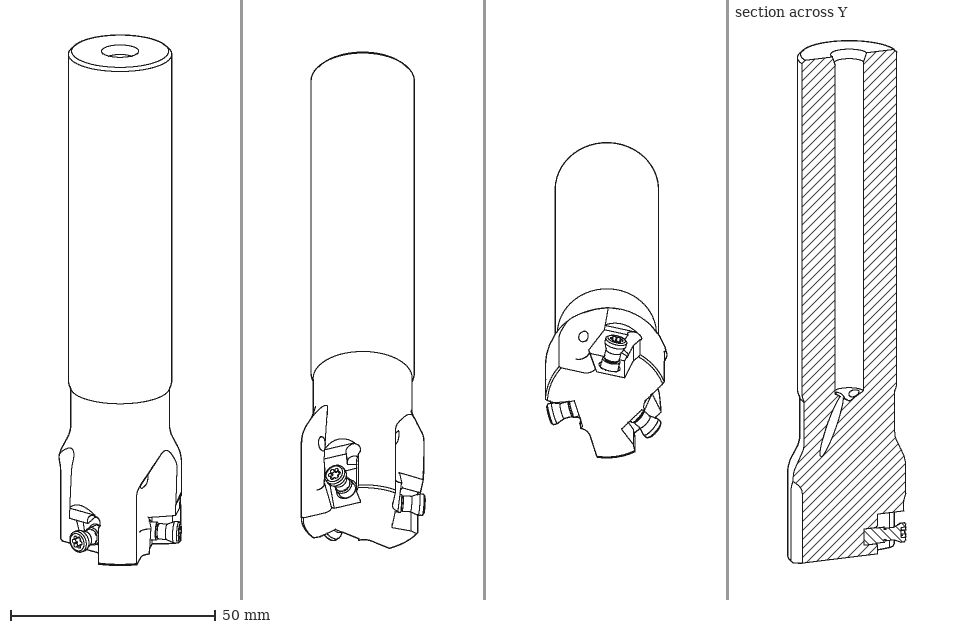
import cadquery as cq
import math

TOOTH_COUNT = 3
REACH = 40.0

total_length = 128.57
shank_radius = 12.7
shank_end_chamfer = 0.8
shank_bottom = 42.8
neck_radius = 12.15
taper_break_radius = 12.5
neck_taper_length = 1.6
head_radius = 15.07
head_top = 23.45
shoulder_angle = 26.0
shoulder_blend = 5.0
head_bottom_chamfer = 0.5

bore_radius = 3.75
bore_chamfer_width = 0.8
bore_chamfer_height = 2.2
bore_tip_z = 40.0
bore_tip_angle = 118.0
branch_radius = 1.2
branch_start = (0.0, 2.1)
branch_exit = (-7.6, 7.8, 19.0)
branch_overrun = 3.0

flute_floor_x = -6.5
flute_rake = 3.5
step_foot_y = 9.8
step_depth = 1.7
step_width = 2.6
wall_angle = 21.9
runout_z = 19.3
runout_angle = 33.0
runout_blend = 5.0
wall_blend = 3.6
lower_step_z = 7.2
lower_step_angle = 14.8

seat_floor_x = -7.5
seat_top = 10.15
seat_wall_foot = (seat_floor_x, -2.7)
seat_wall_bend = (-12.4, -3.7)
seat_flare_angle = 35.0
seat_open_y = 5.9
seat_open_angle = 35.0
seat_open_lean = 9.0
ledge_x = -14.5
ledge_top = 12.8
ledge_rise = 4.0
ledge_half_width = 10.0
ledge_slope = 18.0
relief_radius = 1.8
relief_z = 10.8
relief_angle = 20.0

screw_y = 1.1
screw_z = 4.75
screw_tip_x = -4.0
thread_radius = 2.2
countersink_radius = 2.65
countersink_depth = 0.45
thread_end_x = -9.3
groove_width = 0.4
groove_radius = 1.6
collar_end_x = -11.8
collar_radius = 1.9
head_cone_end_x = -13.7
head_rim_end_x = -14.7
screw_head_radius = 2.65
screw_face_x = -15.05
screw_face_radius = 2.2
socket_radius = 1.1
socket_lobe_radius = 0.45
socket_depth = 1.2
SOCKET_LOBES = 6


def about_axis(shape, index):
    """Copy of a shape turned to one of the tooth stations."""
    return shape.rotate((0, 0, 0), (0, 0, 1), index * 360.0 / TOOTH_COUNT)


def below(height):
    """Everything in reach below a height."""
    return cq.Workplane("XY").box(4 * REACH, 4 * REACH, 2 * REACH).translate((0, 0, height - REACH))


def blank():
    """Turned body: chamfered shank, undercut neck, blended shoulder and cutting head."""
    shoulder_height = (head_radius - neck_radius) / math.tan(math.radians(shoulder_angle))
    body = (
        cq.Workplane("XZ")
        .moveTo(0, 0)
        .lineTo(head_radius - head_bottom_chamfer, 0)
        .lineTo(head_radius, head_bottom_chamfer)
        .lineTo(head_radius, head_top)
        .lineTo(neck_radius, head_top + shoulder_height)
        .lineTo(neck_radius, shank_bottom - neck_taper_length)
        .lineTo(taper_break_radius, shank_bottom - neck_taper_length / 2)
        .lineTo(shank_radius, shank_bottom)
        .lineTo(shank_radius, total_length - shank_end_chamfer)
        .lineTo(shank_radius - shank_end_chamfer, total_length)
        .lineTo(0, total_length)
        .close()
        .revolve(360, (0, 0), (0, 1))
    )
    shoulder = cq.selectors.BoxSelector(
        (-REACH, -REACH, head_top - shoulder_height),
        (REACH, REACH, head_top + 2 * shoulder_height),
    )
    return body.edges(shoulder).edges("%CIRCLE").fillet(shoulder_blend)


def bore():
    """Central coolant bore with a drill-point bottom and a chamfered mouth."""
    tip_height = bore_radius / math.tan(math.radians(bore_tip_angle / 2))
    return (
        cq.Workplane("XZ")
        .moveTo(0, bore_tip_z)
        .lineTo(bore_radius, bore_tip_z + tip_height)
        .lineTo(bore_radius, total_length - bore_chamfer_height)
        .lineTo(bore_radius + bore_chamfer_width, total_length)
        .lineTo(0, total_length)
        .close()
        .revolve(360, (0, 0), (0, 1))
    )


def coolant_branch():
    """Slanted hole from the bore bottom into the flute."""
    start = cq.Vector(*branch_start, bore_tip_z + bore_radius / 2)
    direction = cq.Vector(*branch_exit) - start
    length = direction.Length + branch_overrun
    return cq.Workplane(cq.Solid.makeCylinder(branch_radius, length, start, direction))


def flute_prism():
    """Flute in plan: flat floor, hollow step rising from it, then the wall running outward."""
    wall = math.radians(wall_angle)
    far_x = flute_floor_x - REACH
    step_top = (flute_floor_x - step_depth, step_foot_y - step_width)
    return (
        cq.Workplane("XY")
        .moveTo(flute_floor_x, REACH)
        .lineTo(flute_floor_x, step_foot_y)
        .tangentArcPoint(step_top, relative=False)
        .lineTo(far_x, step_top[1] - (step_top[0] - far_x) * math.tan(wall))
        .lineTo(far_x, REACH)
        .close()
        .extrude(REACH, both=True)
    )


def runout_envelope():
    """Floor and runout plane with a round blend, as a prism along Y."""
    slope = math.tan(math.radians(runout_angle))
    envelope = (
        cq.Workplane("XZ")
        .moveTo(-2 * REACH, -REACH)
        .lineTo(flute_floor_x, -REACH)
        .lineTo(flute_floor_x, runout_z)
        .lineTo(flute_floor_x - REACH * slope, runout_z + REACH)
        .lineTo(-2 * REACH, runout_z + REACH)
        .close()
        .extrude(REACH, both=True)
    )
    bend = cq.selectors.NearestToPointSelector((flute_floor_x, 0, runout_z))
    return envelope.edges(bend).fillet(runout_blend)


def wall_envelope():
    """Runout plane and flute wall joined by a wide round that climbs along the runout."""
    wall_slope = math.tan(math.radians(wall_angle))
    runout_slope = math.tan(math.radians(runout_angle))
    wall_y = step_foot_y - step_width + step_depth * wall_slope
    near_x = flute_floor_x + REACH
    far_x = flute_floor_x - REACH
    wall_side = (
        cq.Workplane("XY")
        .polyline([
            (near_x, wall_y + REACH * wall_slope),
            (far_x, wall_y - REACH * wall_slope),
            (far_x, 2 * REACH),
            (near_x, 2 * REACH),
        ])
        .close()
        .extrude(2 * REACH, both=True)
        .rotate((0, 0, 0), (1, 0, 0), flute_rake)
    )
    runout_rise = REACH / 2
    runout_side = (
        cq.Workplane("XZ")
        .moveTo(flute_floor_x + runout_rise * runout_slope, runout_z - runout_rise)
        .lineTo(flute_floor_x - runout_rise * runout_slope, runout_z + runout_rise)
        .lineTo(far_x, runout_z + runout_rise)
        .lineTo(far_x, runout_z - runout_rise)
        .close()
        .extrude(2 * REACH, both=True)
    )
    corner_y = wall_y - runout_z * math.tan(math.radians(flute_rake))
    corner = cq.selectors.NearestToPointSelector((flute_floor_x, corner_y, runout_z))
    return wall_side.intersect(runout_side).edges(corner).fillet(wall_blend)


def flute():
    """Chip space: raked upper part and a lower part that swings toward the insert seat."""
    upper = flute_prism().rotate((0, 0, 0), (1, 0, 0), flute_rake)
    upper = upper.intersect(runout_envelope()).intersect(wall_envelope())
    bend_y = step_foot_y - lower_step_z * math.tan(math.radians(flute_rake))
    lower = (
        flute_prism()
        .translate((0, bend_y - step_foot_y, lower_step_z))
        .rotate((0, bend_y, lower_step_z), (1, bend_y, lower_step_z), -lower_step_angle)
    )
    return upper.union(lower.intersect(below(lower_step_z)))


def seat():
    """Insert pocket with flared side wall, the flat above it and the round corner relief."""
    run = REACH / 2
    flare_slope = math.tan(math.radians(seat_flare_angle))
    open_slope = math.tan(math.radians(seat_open_angle))
    wall_side = (
        cq.Workplane("XY")
        .polyline([
            (seat_floor_x, run),
            seat_wall_foot,
            seat_wall_bend,
            (seat_wall_bend[0] - run, seat_wall_bend[1] - run * flare_slope),
            (seat_wall_bend[0] - run, run),
        ])
        .close()
        .extrude(REACH, both=True)
    )
    open_side = (
        cq.Workplane("XY")
        .polyline([
            (seat_floor_x, -REACH),
            (seat_floor_x, seat_open_y),
            (seat_floor_x - REACH, seat_open_y + REACH * open_slope),
            (seat_floor_x - REACH, -REACH),
        ])
        .close()
        .extrude(REACH, both=True)
        .rotate((0, 0, 0), (1, 0, 0), -seat_open_lean)
        .translate((0, 0, seat_top))
    )
    pocket = wall_side.intersect(open_side).intersect(below(seat_top))
    ledge_run = ledge_rise * math.tan(math.radians(ledge_slope))
    ledge = (
        cq.Workplane("XZ")
        .moveTo(ledge_x, seat_top)
        .lineTo(ledge_x, ledge_top)
        .lineTo(ledge_x - ledge_run, ledge_top + ledge_rise)
        .lineTo(-REACH, ledge_top + ledge_rise)
        .lineTo(-REACH, seat_top)
        .close()
        .extrude(ledge_half_width, both=True)
    )
    relief_lean = math.radians(relief_angle)
    relief = cq.Solid.makeCylinder(
        relief_radius,
        run,
        cq.Vector(seat_floor_x - relief_radius, seat_wall_foot[1] + relief_radius / 2, relief_z),
        cq.Vector(-math.cos(relief_lean), -math.sin(relief_lean), 0),
    )
    return pocket.union(ledge).union(cq.Workplane(relief))


def along_screw(profile):
    """Turn (X, radius) points about the screw axis."""
    axis = cq.Workplane("XY", origin=(0, screw_y, screw_z))
    return axis.polyline(profile).close().revolve(360, (0, 0), (1, 0))


def screw_hole():
    """Countersunk blind hole in the seat floor."""
    return along_screw([
        (screw_tip_x, 0),
        (screw_tip_x, thread_radius),
        (seat_floor_x + countersink_depth, thread_radius),
        (seat_floor_x, countersink_radius),
        (seat_floor_x, 0),
    ])


def screw():
    """Clamping screw with grooved neck, conical head and six-lobe socket."""
    body = along_screw([
        (screw_tip_x, 0),
        (screw_tip_x, thread_radius),
        (thread_end_x, thread_radius),
        (thread_end_x, groove_radius),
        (thread_end_x - groove_width, groove_radius),
        (thread_end_x - groove_width, collar_radius),
        (collar_end_x, collar_radius),
        (head_cone_end_x, screw_head_radius),
        (head_rim_end_x, screw_head_radius),
        (screw_face_x, screw_face_radius),
        (screw_face_x, 0),
    ])
    face = cq.Workplane("YZ", origin=(screw_face_x, screw_y, screw_z))
    socket = face.circle(socket_radius).extrude(socket_depth)
    lobe_centres = face.polarArray(socket_radius, 0, 360, SOCKET_LOBES)
    lobes = lobe_centres.circle(socket_lobe_radius).extrude(socket_depth)
    return body.cut(socket.union(lobes))


cutter_body = blank().cut(bore())
screws = []
for tooth in range(TOOTH_COUNT):
    for cut in (flute(), seat(), screw_hole(), coolant_branch()):
        cutter_body = cutter_body.cut(about_axis(cut, tooth))
    screws.append(about_axis(screw(), tooth).val())

result = cq.Compound.makeCompound([cutter_body.val(), *screws])